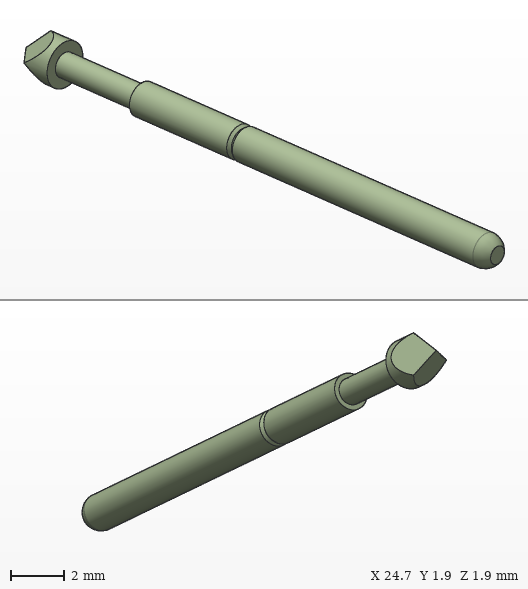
import cadquery as cq
import math

total_length = 24.65
head_radius = 0.95
head_length = 2.05
plunger_radius = 0.52
barrel_start = 6.1
barrel_radius = 0.71
nose_length = 0.6
nose_end_radius = 0.37
nose_bulge = 0.07
groove_center = 11.33
groove_half_width = 0.15
groove_depth = 0.1
facet_count = 3
facet_angle = 30.0

nose_start = total_length - nose_length
nose_drop = barrel_radius - nose_end_radius
nose_chord = math.hypot(nose_length, nose_drop)
nose_middle = (
    nose_start + nose_length / 2 + nose_bulge * nose_drop / nose_chord,
    barrel_radius - nose_drop / 2 + nose_bulge * nose_length / nose_chord,
)


def turned_body():
    """Revolve the stepped profile of head, plunger, grooved barrel and rounded nose."""
    profile = (
        cq.Workplane("XY")
        .lineTo(0, head_radius)
        .lineTo(head_length, head_radius)
        .lineTo(head_length, plunger_radius)
        .lineTo(barrel_start, plunger_radius)
        .lineTo(barrel_start, barrel_radius)
        .lineTo(groove_center - groove_half_width, barrel_radius)
        .lineTo(groove_center, barrel_radius - groove_depth)
        .lineTo(groove_center + groove_half_width, barrel_radius)
        .lineTo(nose_start, barrel_radius)
        .threePointArc(nose_middle, (total_length, nose_end_radius))
        .lineTo(total_length, 0)
        .close()
    )
    return profile.revolve(360, (0, 0, 0), (1, 0, 0))


def facet_cutter():
    """Wedge outside the facet that rises from the tip towards +Y."""
    reach = 2 * head_radius
    facet_run = reach / math.tan(math.radians(facet_angle))
    return (
        cq.Workplane("XY")
        .polyline([(0, 0), (facet_run, reach), (-reach, reach), (-reach, 0)])
        .close()
        .extrude(reach, both=True)
    )


result = turned_body()
for index in range(facet_count):
    turn = index * 360 / facet_count
    result = result.cut(facet_cutter().rotate((0, 0, 0), (1, 0, 0), turn))